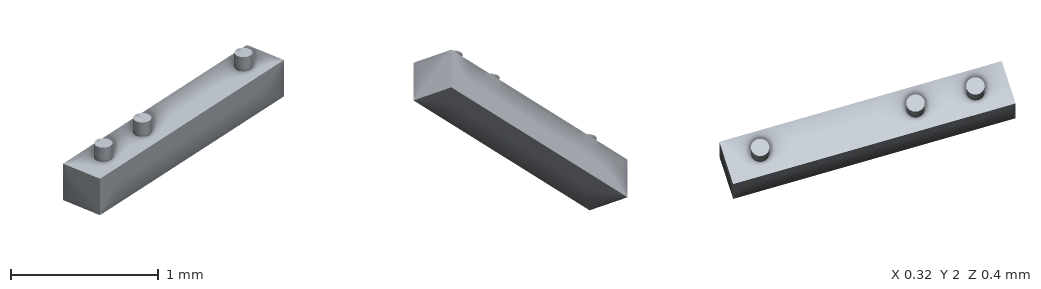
import cadquery as cq

bar_width = 0.32
bar_length = 2.0
total_height = 0.4

pin_diameter = 0.125
pin_height = 0.112
pin_distances_from_front = (0.235, 0.66, 1.76)

bar_height = total_height - pin_height

bar = cq.Workplane("XY").box(bar_width, bar_length, bar_height, centered=(True, True, False))

pin_centres = [(0, distance - bar_length / 2) for distance in pin_distances_from_front]
result = (
    bar.faces(">Z")
    .workplane(origin=(0, 0, bar_height))
    .pushPoints(pin_centres)
    .circle(pin_diameter / 2)
    .extrude(pin_height)
)